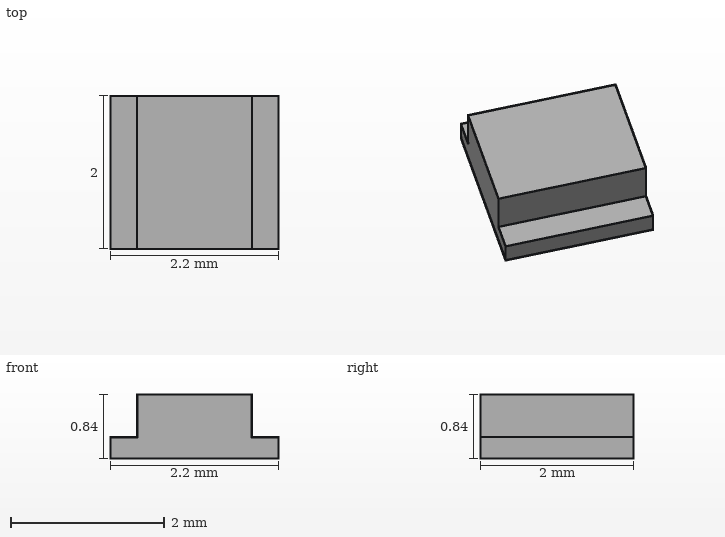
import cadquery as cq

base_length = 2.2
body_length = 1.5
width = 2.0
base_height = 0.28
total_height = 0.84

body_height = total_height - base_height

base = cq.Workplane("XY").box(base_length, width, base_height, centered=(True, True, False))

body = (
    cq.Workplane("XY")
    .workplane(offset=base_height)
    .box(body_length, width, body_height, centered=(True, True, False))
)

result = base.union(body).clean()